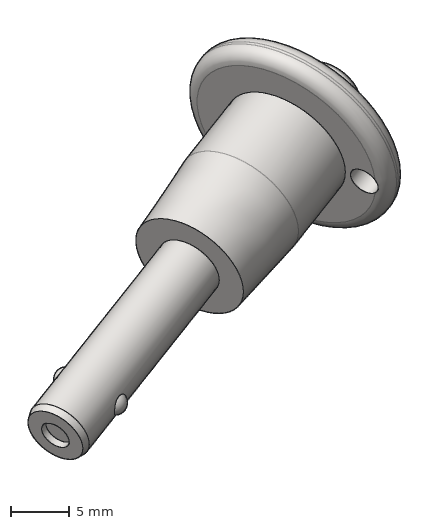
import cadquery as cq
import math

LENGTH = 45.4

SHANK_RADIUS = 6.0 / 2
TIP_CHAMFER_LENGTH = 0.7
TIP_CHAMFER_DEPTH = 0.23
TIP_RECESS_DIAMETER = 2.75
TIP_RECESS_DEPTH = 0.7

BALL_RADIUS = 1.1
BALL_REACH = 3.55
BALL_Y = 5.75

SLEEVE_RADIUS = 11.9 / 2
SLEEVE_END_RADIUS = 10.85 / 2
SLEEVE_START_Y = 21.97
SLEEVE_TAPER_LENGTH = 8.15

DISC_RADIUS = 20.6 / 2
DISC_FRONT_Y = 37.8
DISC_THICKNESS = 3.4
RIM_ROUND_RADIUS = 1.3
RIM_BAND_WIDTH = 0.25
BACK_CONE_ANGLE = math.radians(15)
LANYARD_HOLE_DIAMETER = 2.75
LANYARD_HOLE_X = 7.85

BUTTON_RADIUS = 5.8 / 2
BUTTON_EDGE_ROUND = 0.25


def cylinder(radius, start_y, end_y):
    """Cylinder on the pin axis between two Y positions."""
    return (
        cq.Workplane("XZ", origin=(0, start_y, 0))
        .circle(radius)
        .extrude(start_y - end_y)
    )


def revolve_about_pin_axis(profile):
    return profile.close().revolve(360, (0, 0, 0), (0, 1, 0))


def make_shank():
    profile = (
        cq.Workplane("XY")
        .lineTo(SHANK_RADIUS - TIP_CHAMFER_DEPTH, 0)
        .lineTo(SHANK_RADIUS, TIP_CHAMFER_LENGTH)
        .lineTo(SHANK_RADIUS, DISC_FRONT_Y)
        .lineTo(0, DISC_FRONT_Y)
    )
    return revolve_about_pin_axis(profile)


def make_sleeve():
    profile = (
        cq.Workplane("XY")
        .moveTo(0, SLEEVE_START_Y)
        .lineTo(SLEEVE_END_RADIUS, SLEEVE_START_Y)
        .lineTo(SLEEVE_RADIUS, SLEEVE_START_Y + SLEEVE_TAPER_LENGTH)
        .lineTo(SLEEVE_RADIUS, DISC_FRONT_Y)
        .lineTo(0, DISC_FRONT_Y)
    )
    return revolve_about_pin_axis(profile)


def make_disc():
    back_y = DISC_FRONT_Y + DISC_THICKNESS
    round_center_radius = DISC_RADIUS - RIM_ROUND_RADIUS
    band_front_y = DISC_FRONT_Y + RIM_ROUND_RADIUS
    band_back_y = band_front_y + RIM_BAND_WIDTH

    def back_round_point(angle):
        """Point on the back rim round, with the angle measured from the pin axis."""
        return (
            round_center_radius + RIM_ROUND_RADIUS * math.sin(angle),
            band_back_y + RIM_ROUND_RADIUS * math.cos(angle),
        )

    cone_outer = back_round_point(BACK_CONE_ANGLE)
    cone_inner_radius = cone_outer[0] - (back_y - cone_outer[1]) / math.tan(BACK_CONE_ANGLE)
    middle_angle = (math.pi / 2 + BACK_CONE_ANGLE) / 2
    diagonal = RIM_ROUND_RADIUS * math.sqrt(0.5)
    profile = (
        cq.Workplane("XY")
        .moveTo(0, DISC_FRONT_Y)
        .lineTo(round_center_radius, DISC_FRONT_Y)
        .threePointArc(
            (round_center_radius + diagonal, band_front_y - diagonal),
            (DISC_RADIUS, band_front_y),
        )
        .lineTo(DISC_RADIUS, band_back_y)
        .threePointArc(back_round_point(middle_angle), cone_outer)
        .lineTo(cone_inner_radius, back_y)
        .lineTo(0, back_y)
    )
    disc = revolve_about_pin_axis(profile)
    lanyard_hole = cylinder(LANYARD_HOLE_DIAMETER / 2, DISC_FRONT_Y, back_y)
    return disc.cut(lanyard_hole.translate((LANYARD_HOLE_X, 0, 0)))


def make_button():
    return cylinder(BUTTON_RADIUS, DISC_FRONT_Y, LENGTH).faces(">Y").edges().fillet(BUTTON_EDGE_ROUND)


def make_ball(side):
    center_x = side * (BALL_REACH - BALL_RADIUS)
    return cq.Workplane("XY").sphere(BALL_RADIUS).translate((center_x, BALL_Y, 0))


result = make_shank().union(make_sleeve()).union(make_disc()).union(make_button())
for side in (-1, 1):
    result = result.union(make_ball(side))
result = result.cut(cylinder(TIP_RECESS_DIAMETER / 2, 0, TIP_RECESS_DEPTH))